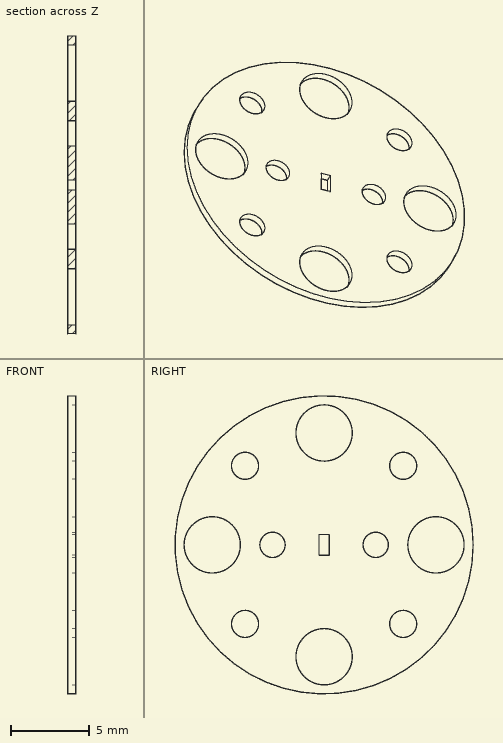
import cadquery as cq

disc_diameter = 19.05
thickness = 0.53

large_hole_diameter = 3.58
large_hole_offset = 7.15

corner_hole_diameter = 1.71
corner_hole_spacing = 10.1

inner_hole_diameter = 1.6
inner_hole_spacing = 6.6

slot_width = 0.63
slot_height = 1.31


def drill(body, diameter, centres):
    """Cut through holes at the given (Y, Z) centres."""
    return body.faces(">X").workplane(origin=(0, 0, 0)).pushPoints(centres).hole(diameter)


disc = cq.Workplane("YZ").circle(disc_diameter / 2).extrude(thickness)

large_centres = [
    (large_hole_offset, 0),
    (-large_hole_offset, 0),
    (0, large_hole_offset),
    (0, -large_hole_offset),
]
half_corner = corner_hole_spacing / 2
corner_centres = [(y, z) for y in (-half_corner, half_corner) for z in (-half_corner, half_corner)]
inner_centres = [(-inner_hole_spacing / 2, 0), (inner_hole_spacing / 2, 0)]

disc = drill(disc, large_hole_diameter, large_centres)
disc = drill(disc, corner_hole_diameter, corner_centres)
disc = drill(disc, inner_hole_diameter, inner_centres)

slot = cq.Workplane("YZ").rect(slot_width, slot_height).extrude(thickness)
result = disc.cut(slot)